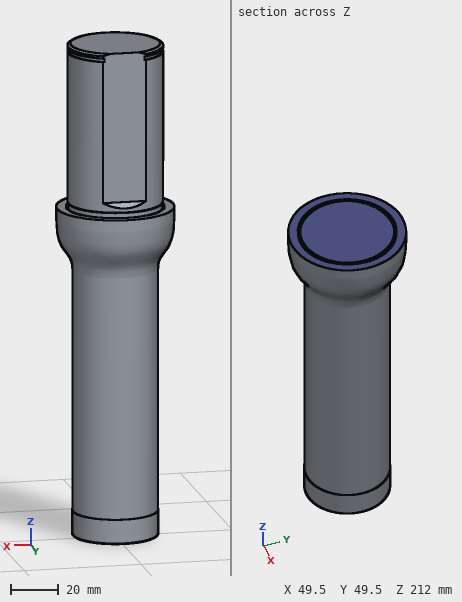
import cadquery as cq
import math

TOTAL_LENGTH = 212.0
HEAD_HEIGHT = 11.5

HEAD_DIAMETER = 36.0
HEAD_TIP_DEPTH = 1.3
HEAD_TIP_FLAT_DIAMETER = 12.7
HEAD_RIM_CHAMFER = 0.5

BODY_DIAMETER = 35.8
FLANGE_DIAMETER = 49.5
FLANGE_TOP = 141.8
FLANGE_BAND_HEIGHT = 5.0
BELL_HEIGHT = 21.6
BELL_SHOULDER_RADIUS = 22.7
BELL_SHOULDER_DROP = 11.2

SHANK_DIAMETER = 40.0
NECK_DIAMETER = 39.5
NECK_HEIGHT = 2.0
RELIEF_DIAMETER = 41.1
RELIEF_DEPTH = 0.6
NECK_CHAMFER = (SHANK_DIAMETER - NECK_DIAMETER) / 2
TOP_GROOVE_BOTTOM = 208.6
TOP_GROOVE_TOP = 210.0
TOP_CHAMFER_WIDTH = 1.3
TOP_CHAMFER_HEIGHT = 0.8

FLAT_OFFSET = 17.8
FLAT_BOTTOM = 148.0
FLAT_RUNOUT_ANGLE = 45.0


def make_head():
    """Short cutting head with a shallow conical tip."""
    radius = HEAD_DIAMETER / 2
    return (
        cq.Workplane("XZ")
        .lineTo(HEAD_TIP_FLAT_DIAMETER / 2, 0)
        .lineTo(radius - HEAD_RIM_CHAMFER, HEAD_TIP_DEPTH - HEAD_RIM_CHAMFER)
        .lineTo(radius, HEAD_TIP_DEPTH)
        .lineTo(radius, HEAD_HEIGHT)
        .lineTo(0, HEAD_HEIGHT)
        .close()
        .revolve(360, (0, 0), (0, 1))
    )


def make_turned_holder():
    """Holder as a turned part; one smooth curve forms its bell."""
    body_r = BODY_DIAMETER / 2
    flange_r = FLANGE_DIAMETER / 2
    shank_r = SHANK_DIAMETER / 2
    neck_r = NECK_DIAMETER / 2

    bell_top = FLANGE_TOP - FLANGE_BAND_HEIGHT
    bell_bottom = bell_top - BELL_HEIGHT
    bell_curve = [
        (BELL_SHOULDER_RADIUS, bell_top - BELL_SHOULDER_DROP),
        (flange_r, bell_top),
    ]
    upward = (0, 1)

    relief_r = RELIEF_DIAMETER / 2
    relief_bottom = FLANGE_TOP - RELIEF_DEPTH
    neck_top = FLANGE_TOP + NECK_HEIGHT
    return (
        cq.Workplane("XZ")
        .moveTo(0, HEAD_HEIGHT)
        .lineTo(body_r, HEAD_HEIGHT)
        .lineTo(body_r, bell_bottom)
        .spline(bell_curve, tangents=[upward, upward], includeCurrent=True)
        .lineTo(flange_r, FLANGE_TOP)
        .lineTo(relief_r, FLANGE_TOP)
        .lineTo(relief_r, relief_bottom)
        .lineTo(neck_r, relief_bottom)
        .lineTo(neck_r, neck_top)
        .lineTo(shank_r, neck_top + NECK_CHAMFER)
        .lineTo(shank_r, TOP_GROOVE_BOTTOM)
        .lineTo(neck_r, TOP_GROOVE_BOTTOM)
        .lineTo(neck_r, TOP_GROOVE_TOP)
        .lineTo(shank_r, TOP_GROOVE_TOP)
        .lineTo(shank_r, TOTAL_LENGTH - TOP_CHAMFER_HEIGHT)
        .lineTo(shank_r - TOP_CHAMFER_WIDTH, TOTAL_LENGTH)
        .lineTo(0, TOTAL_LENGTH)
        .close()
        .revolve(360, (0, 0), (0, 1))
    )


def make_flat_cutter():
    """Prism that removes the clamping flat and its sloped run-out."""
    depth = SHANK_DIAMETER / 2 - FLAT_OFFSET
    runout = depth / math.tan(math.radians(FLAT_RUNOUT_ANGLE))
    outer_y = SHANK_DIAMETER / 2
    return (
        cq.Workplane("YZ")
        .moveTo(FLAT_OFFSET, FLAT_BOTTOM)
        .lineTo(outer_y, FLAT_BOTTOM - runout)
        .lineTo(outer_y, TOTAL_LENGTH)
        .lineTo(FLAT_OFFSET, TOTAL_LENGTH)
        .close()
        .extrude(SHANK_DIAMETER / 2, both=True)
    )


cutting_head = make_head()
holder = make_turned_holder().cut(make_flat_cutter())

result = cq.Compound.makeCompound([cutting_head.val(), holder.val()])